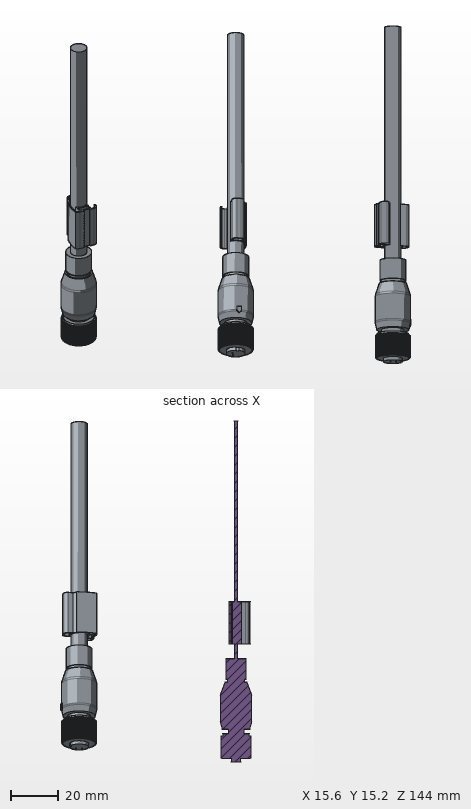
import cadquery as cq
import math

TOTAL_LENGTH = 144.0
CABLE_RADIUS = 3.5

INSERT_BOTTOM = 0.35
NUT_BOTTOM = 1.8
NUT_TOP = 11.4
COLLAR_TOP = 12.3
BODY_BOTTOM = 14.1
BODY_LOWER_EDGE = 17.1
BODY_UPPER_EDGE = 28.8
CONE_TOP = 34.0
SLEEVE_BOTTOM = 35.2
SLEEVE_TOP = 43.9

INSERT_RADIUS = 4.0
NUT_RADIUS = 7.4
COLLAR_RADIUS = 6.6
NECK_RADIUS = 4.8
BODY_FOOT_RADIUS = 6.8
BODY_RADIUS = 7.5
CONE_TOP_RADIUS = 5.8
SLEEVE_GROOVE_RADIUS = 5.1
SLEEVE_RADIUS = 5.5
BODY_BLEND_RADIUS = 3.0

KNURL_COUNT = 72
KNURL_DEPTH = 0.25
NUT_CHAMFER = 0.5

KEY_ANGLE = 135.0
KEYWAY_RADIUS = 0.7
CONTACT_CIRCLE_RADIUS = 1.75
CONTACT_RADIUS = 0.2
CONTACT_ANGLES = (-14.0, 76.0)
ARROW_WIDTH = 2.0
ARROW_TIP_Z = 15.9
ARROW_SHOULDER_Z = 17.0
ARROW_TOP_Z = 18.9
ARROW_RAISE = 0.4

CLIP_BOTTOM = 50.0
CLIP_TOP = 67.9
CLIP_ANGLE = -45.0
CLIP_WALL = 0.6
JAW_WALL = 0.7
JAW_RADIUS = CABLE_RADIUS + JAW_WALL
LEFT_WING_REACH = 7.0
RIGHT_WING_REACH = 6.5
WING_HALF_DEPTH = 2.6
WING_CORNER_RADIUS = 1.8
SHELL_REACH = 7.0
WINDOW_CREASE_U = 6.1
WINDOW_CREASE_W = 4.38
SHOULDER_MID_U = 6.5
SHOULDER_MID_W = 3.8
SHOULDER_END_W = 3.0
WINDOW_END_U = -1.9
WINDOW_END_W = 3.85
WINDOW_BULGE = 0.45
HOOK_RADIUS = 2.0
HOOK_DEPTH = 5.68
HOOK_END_U = 4.4
SHELL_GAP_FRONT = 0.9
SHELL_GAP_BACK = -1.8


def cylinder(radius, bottom, top):
    return cq.Workplane("XY").workplane(offset=bottom).circle(radius).extrude(top - bottom)


def cable():
    return cylinder(CABLE_RADIUS, SLEEVE_TOP, TOTAL_LENGTH)


def moulded_body():
    """Grip body, strain-relief sleeve and the neck and collar that carry the nut."""
    profile = [
        (0, NUT_TOP),
        (COLLAR_RADIUS, NUT_TOP),
        (COLLAR_RADIUS, COLLAR_TOP),
        (NECK_RADIUS, COLLAR_TOP),
        (NECK_RADIUS, BODY_BOTTOM),
        (BODY_FOOT_RADIUS, BODY_BOTTOM),
        (BODY_RADIUS, BODY_LOWER_EDGE),
        (BODY_RADIUS, BODY_UPPER_EDGE),
        (CONE_TOP_RADIUS, CONE_TOP),
        (SLEEVE_GROOVE_RADIUS, CONE_TOP),
        (SLEEVE_GROOVE_RADIUS, SLEEVE_BOTTOM),
        (SLEEVE_RADIUS, SLEEVE_BOTTOM),
        (SLEEVE_RADIUS, SLEEVE_TOP),
        (0, SLEEVE_TOP),
    ]
    body = cq.Workplane("XZ").polyline(profile).close().revolve(360, (0, 0), (0, 1))
    for height in (BODY_LOWER_EDGE, BODY_UPPER_EDGE):
        rim = cq.selectors.NearestToPointSelector((BODY_RADIUS, 0, height))
        body = body.edges("%CIRCLE").edges(rim).fillet(BODY_BLEND_RADIUS)
    return body


def knurled_nut():
    """Coupling nut with fine V-shaped knurls and a chamfered lower rim."""
    outline = []
    for i in range(2 * KNURL_COUNT):
        angle = math.pi * i / KNURL_COUNT
        radius = NUT_RADIUS - KNURL_DEPTH * (i % 2)
        outline.append((radius * math.cos(angle), radius * math.sin(angle)))
    nut_height = NUT_TOP - NUT_BOTTOM
    nut = cq.Workplane("XY").workplane(offset=NUT_BOTTOM).polyline(outline).close().extrude(nut_height)
    rim = cylinder(NUT_RADIUS, NUT_BOTTOM, NUT_TOP).faces("<Z").chamfer(NUT_CHAMFER)
    return nut.intersect(rim)


def contact_insert():
    """Insert below the nut with its keyway and the tips of two contacts."""
    insert = cylinder(INSERT_RADIUS, INSERT_BOTTOM, NUT_BOTTOM)
    keyway = cylinder(KEYWAY_RADIUS, INSERT_BOTTOM, NUT_BOTTOM).translate((INSERT_RADIUS, 0, 0))
    insert = insert.cut(keyway.rotate((0, 0, 0), (0, 0, 1), KEY_ANGLE))
    for angle in CONTACT_ANGLES:
        contact = cylinder(CONTACT_RADIUS, 0, NUT_BOTTOM).translate((CONTACT_CIRCLE_RADIUS, 0, 0))
        insert = insert.union(contact.rotate((0, 0, 0), (0, 0, 1), angle))
    return insert


def key_arrow():
    """Raised arrow on the grip body, pointing down at the keyway."""
    half = ARROW_WIDTH / 2
    outline = [
        (0, ARROW_TIP_Z),
        (half, ARROW_SHOULDER_Z),
        (half, ARROW_TOP_Z),
        (-half, ARROW_TOP_Z),
        (-half, ARROW_SHOULDER_Z),
    ]
    arrow = cq.Workplane("YZ").polyline(outline).close().extrude(BODY_RADIUS + ARROW_RAISE)
    return arrow.rotate((0, 0, 0), (0, 0, 1), KEY_ANGLE)


def clip_prism(sketch):
    return sketch.extrude(CLIP_TOP - CLIP_BOTTOM)


def clip_plane():
    return cq.Workplane("XY").workplane(offset=CLIP_BOTTOM)


def clip_box(u_min, u_max, w_min, w_max):
    sketch = clip_plane().moveTo(u_min, w_min).lineTo(u_max, w_min).lineTo(u_max, w_max).lineTo(u_min, w_max)
    return clip_prism(sketch.close())


def clip_wings():
    """Two hollow wings whose curved inner walls grip the cable from both sides."""
    outer = clip_box(-LEFT_WING_REACH, RIGHT_WING_REACH, -WING_HALF_DEPTH, WING_HALF_DEPTH)
    outer = outer.edges("|Z and <X").fillet(WING_CORNER_RADIUS)
    hollow_depth = WING_HALF_DEPTH - CLIP_WALL
    hollow = clip_box(
        CLIP_WALL - LEFT_WING_REACH, RIGHT_WING_REACH - CLIP_WALL, -hollow_depth, hollow_depth
    )
    hollow = hollow.edges("|Z and <X").fillet(WING_CORNER_RADIUS - CLIP_WALL)
    jaw = clip_prism(clip_plane().circle(JAW_RADIUS))
    bore = clip_prism(clip_plane().circle(CABLE_RADIUS))
    return outer.cut(hollow.cut(jaw)).cut(bore)


def window_link():
    """Stretch of the left jaw that carries the free end of the label window."""
    ring = clip_prism(clip_plane().circle(JAW_RADIUS).circle(CABLE_RADIUS))
    return ring.intersect(clip_box(-LEFT_WING_REACH, WINDOW_END_U + CLIP_WALL, 0, WINDOW_END_W))


def clip_shell():
    """Thin wall: bowed label window, rounded shoulder, outer side with a gap, and rear hook."""
    inset = CLIP_WALL / 2
    side_u = SHELL_REACH - inset
    window_mid = (
        (WINDOW_END_U + WINDOW_CREASE_U) / 2,
        (WINDOW_END_W + WINDOW_CREASE_W) / 2 + WINDOW_BULGE,
    )
    bend_radius = HOOK_RADIUS - inset
    bend_u = side_u - bend_radius
    hook_w = inset - HOOK_DEPTH
    bend_w = hook_w + bend_radius
    diagonal = bend_radius * math.sqrt(0.5)
    path = (
        clip_plane()
        .moveTo(WINDOW_END_U, WINDOW_END_W)
        .threePointArc(window_mid, (WINDOW_CREASE_U, WINDOW_CREASE_W))
        .threePointArc((SHOULDER_MID_U, SHOULDER_MID_W), (side_u, SHOULDER_END_W))
        .lineTo(side_u, bend_w)
        .threePointArc((bend_u + diagonal, bend_w - diagonal), (bend_u, hook_w))
        .lineTo(HOOK_END_U, hook_w)
    )
    shell = clip_prism(path.offset2D(inset, "intersection"))
    gap_start = SHELL_REACH - CLIP_WALL
    return shell.cut(clip_box(gap_start, SHELL_REACH, SHELL_GAP_BACK, SHELL_GAP_FRONT))


def label_clip():
    clip = clip_wings()
    clip = clip.union(window_link()).union(clip_shell())
    return clip.mirror("XZ").rotate((0, 0, 0), (0, 0, 1), CLIP_ANGLE)


result = (
    moulded_body()
    .union(cable())
    .union(knurled_nut())
    .union(contact_insert())
    .union(key_arrow())
    .union(label_clip())
)